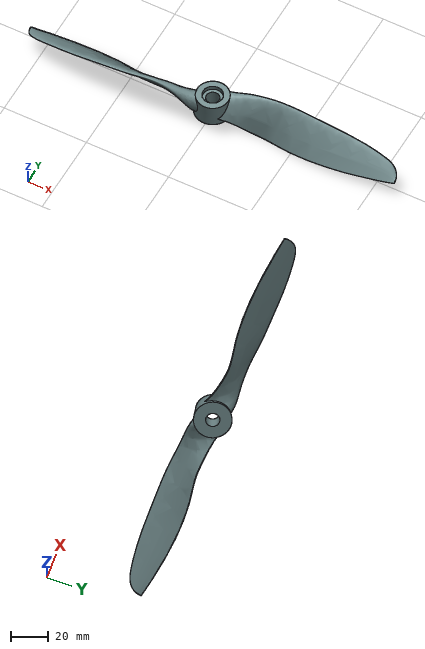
import cadquery as cq
import math


hub_bottom_z = -7.0
hub_height = 12.7
hub_bottom_radius = 10.4
hub_top_radius = 9.4
rim_height = 1.0
bore_diameter = 7.6
counterbore_diameter = 11.6
counterbore_depth = 2.5

trailing_edge = 0.5
points_per_side = 8
nose_factor = 1.4845
body_factors = (-0.63, -1.758, 1.4215, -0.518)

blade_stations = [
    (4.0, (-8.2, -1.8), (8.3, 1.6), 9.6, 0.38),
    (9.0, (-6.4, -3.8), (8.5, 3.6), 9.8, 0.40),
    (15.0, (-4.7, -5.6), (8.8, 6.0), 6.8, 0.50),
    (23.0, (-3.5, -8.0), (9.0, 8.5), 4.5, 0.65),
    (33.0, (-2.9, -9.6), (9.6, 9.78), 3.2, 0.75),
    (45.0, (-4.6, -9.2), (10.48, 8.9), 2.7, 0.75),
    (58.0, (-5.9, -8.2), (10.68, 7.4), 2.3, 0.75),
    (71.0, (-5.95, -7.3), (10.68, 6.0), 1.9, 0.75),
    (83.0, (-5.2, -6.4), (10.4, 4.6), 1.6, 0.75),
    (93.0, (-4.0, -5.5), (9.6, 3.3), 1.4, 0.75),
    (101.0, (-2.9, -4.7), (8.5, 1.8), 1.2, 0.75),
    (106.5, (-2.0, -4.2), (6.8, 0.3), 1.0, 0.75),
    (109.5, (-1.5, -3.8), (4.3, -1.4), 0.8, 0.75),
    (111.015, (-1.2, -3.5), (0.6, -2.6), 0.6, 0.75),
]


def half_thickness(s, thickness):
    """Aerofoil half thickness at chord fraction s (leading edge 0, trailing edge 1)."""
    shape = nose_factor * math.sqrt(s)
    for power, factor in enumerate(body_factors, start=1):
        shape += factor * s**power
    return thickness * shape + trailing_edge / 2 * s


def blade_section(x, trailing, leading, thickness, upper_share):
    """Closed aerofoil wire in the plane at x."""
    along_y = trailing[0] - leading[0]
    along_z = trailing[1] - leading[1]
    chord = math.hypot(along_y, along_z)
    up_y = along_z / chord
    up_z = -along_y / chord

    def surface_point(step):
        s = (step / points_per_side) ** 2
        share = upper_share if step > 0 else 1 - upper_share
        offset = math.copysign(2 * share * half_thickness(s, thickness), step)
        return cq.Vector(
            x,
            leading[0] + s * along_y + offset * up_y,
            leading[1] + s * along_z + offset * up_z,
        )

    points = [surface_point(step) for step in range(-points_per_side, points_per_side + 1)]
    skin = cq.Edge.makeSpline(points)
    blunt_edge = cq.Edge.makeLine(points[-1], points[0])
    return cq.Wire.assembleEdges([skin, blunt_edge])


def make_blade():
    wires = [blade_section(*station) for station in blade_stations]
    return cq.Workplane(obj=cq.Solid.makeLoft(wires))


def make_hub():
    top_z = hub_bottom_z + hub_height
    rim_z = top_z - rim_height
    outline = [
        (0, hub_bottom_z),
        (hub_bottom_radius, hub_bottom_z),
        (hub_top_radius, rim_z),
        (hub_top_radius, top_z),
        (0, top_z),
    ]
    return cq.Workplane("XZ").polyline(outline).close().revolve(360, (0, 0), (0, 1))


def cut_bore(body):
    top = cq.Workplane("XY").workplane(offset=hub_bottom_z + hub_height)
    bore = top.circle(bore_diameter / 2).extrude(-hub_height)
    counterbore = top.circle(counterbore_diameter / 2).extrude(-counterbore_depth)
    return body.cut(bore).cut(counterbore)


blade = make_blade()
opposite_blade = blade.rotate((0, 0, 0), (0, 0, 1), 180)
result = cut_bore(make_hub().union(blade).union(opposite_blade))